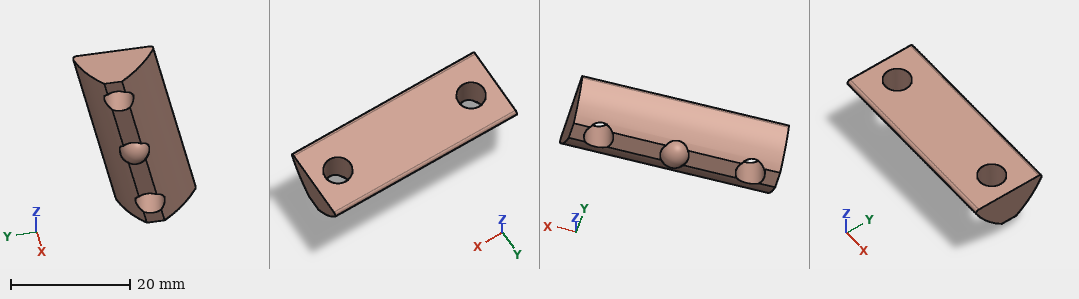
import cadquery as cq

length = 36.0
body_height = 7.02
top_half_width = 7.2
flank_half_width = 5.15
flank_depth = 3.45
bottom_half_width = 1.5
edge_radius = 0.58

hole_diameter = 4.95
hole_spacing = 26.42
ball_diameter = 5.0
overall_height = 8.9


def make_bar():
    """Bar with convex flanks, a narrow flat bottom and rounded top edges."""
    bar = (
        cq.Workplane("YZ")
        .moveTo(-top_half_width, 0)
        .lineTo(top_half_width, 0)
        .threePointArc((flank_half_width, -flank_depth), (bottom_half_width, -body_height))
        .lineTo(-bottom_half_width, -body_height)
        .threePointArc((-flank_half_width, -flank_depth), (-top_half_width, 0))
        .close()
        .extrude(length / 2, both=True)
    )
    return bar.faces(">Z").edges("|X").fillet(edge_radius)


def make_holes():
    """Pair of vertical through holes."""
    return (
        cq.Workplane("XY")
        .pushPoints([(-hole_spacing / 2, 0), (hole_spacing / 2, 0)])
        .circle(hole_diameter / 2)
        .extrude(-body_height)
    )


def make_ball():
    """Ball whose lowest point sets the overall height."""
    ball_radius = ball_diameter / 2
    return cq.Workplane("XY").sphere(ball_radius).translate((0, 0, ball_radius - overall_height))


result = make_bar().cut(make_holes()).union(make_ball())